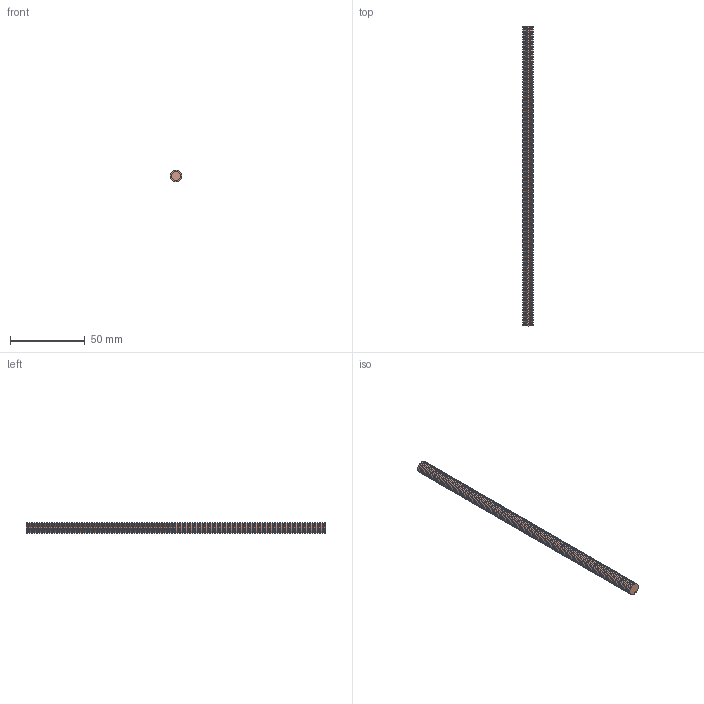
import cadquery as cq

length = 200.0
crest_diameter = 8.0
root_diameter = 6.0
groove_count = 180

pitch = length / groove_count
crest_radius = crest_diameter / 2
root_radius = root_diameter / 2
low_end = -length / 2
high_end = length / 2


def grooved_half_section():
    """Half section in the XY plane: sharp V grooves along Y, closed on the rod axis."""
    points = [(0, low_end), (crest_radius, low_end)]
    for groove in range(groove_count):
        groove_start = low_end + groove * pitch
        points.append((root_radius, groove_start + pitch / 2))
        points.append((crest_radius, groove_start + pitch))
    points.append((0, high_end))
    return cq.Workplane("XY").polyline(points).close()


result = grooved_half_section().revolve(360, (0, 0, 0), (0, 1, 0))